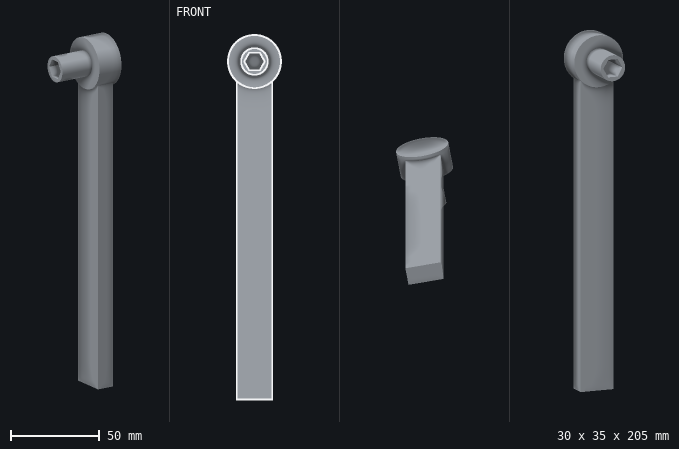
import cadquery as cq
import math

overall_height = 205.0
head_diameter = 30.0
head_thickness = 15.0
boss_diameter = 15.0
boss_length = 20.0
arm_width = 20.0
arm_thickness = 10.0
socket_across_flats = 10.0

head_radius = head_diameter / 2
arm_length = overall_height - head_radius
socket_across_corners = socket_across_flats / math.cos(math.radians(30))


def make_head():
    """Round head centred on the XZ plane."""
    return cq.Workplane("XZ").circle(head_radius).extrude(head_thickness / 2, both=True)


def make_arm():
    """Flat bar hanging from the head axis."""
    return cq.Workplane("XY").box(
        arm_width, arm_thickness, arm_length, centered=(True, True, False)
    ).translate((0, 0, -arm_length))


def front_plane(distance):
    """Workplane facing -Y at a distance in front of the head's mid-plane."""
    return cq.Workplane("XZ").workplane(offset=distance)


head_front = head_thickness / 2
boss = front_plane(head_front).circle(boss_diameter / 2).extrude(boss_length)

socket = front_plane(head_front).polygon(6, socket_across_corners).extrude(boss_length)

result = make_head().union(make_arm()).union(boss).cut(socket)